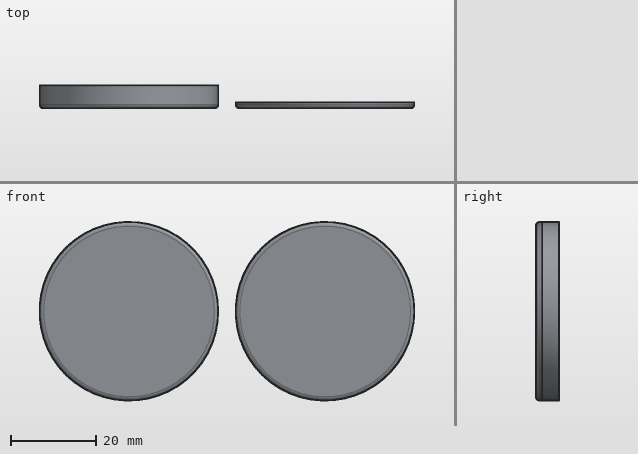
import cadquery as cq

overall_length = 88.0
disc_diameter = 42.0
housing_depth = 5.5
cover_depth = 1.5
front_fillet = 1.0
back_fillet = 0.2

disc_spacing = overall_length - disc_diameter


def rounded_disc(center_x, depth):
    """Disc with its axis along Y, a large front rounding and a small back rounding."""
    disc = (
        cq.Workplane("XZ", origin=(center_x, depth, 0))
        .circle(disc_diameter / 2)
        .extrude(depth)
    )
    disc = disc.faces("<Y").edges().fillet(front_fillet)
    return disc.faces(">Y").edges().fillet(back_fillet)


housing = rounded_disc(-disc_spacing / 2, housing_depth)

cover = rounded_disc(disc_spacing / 2, cover_depth)

result = cq.Compound.makeCompound([housing.val(), cover.val()])